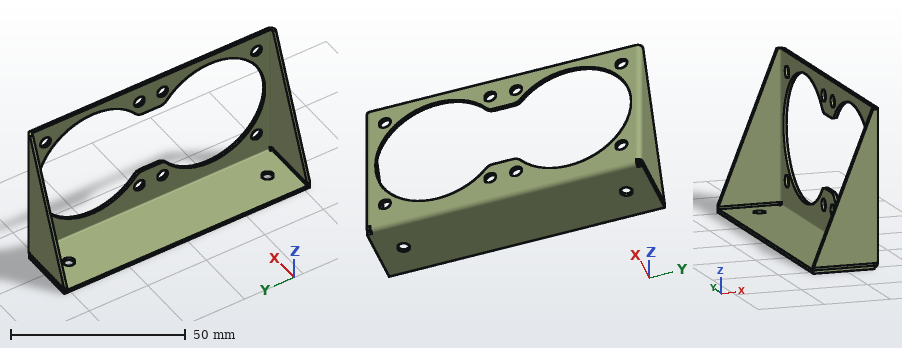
import cadquery as cq

depth = 20.0
width = 84.0
height = 46.9

thickness = 1.0
inner_radius = 0.5
outer_radius = inner_radius + thickness
bend_x = depth - outer_radius
half_width = width / 2
half_flat = half_width - outer_radius

wall_bottom = 1.8
wall_top_width = 2.0

opening_z = 24.95
opening_offset = 20.0
opening_radius = 19.0
waist_half_height = 10.9
waist_fillet = 3.0

hole_diameter = 3.5
back_hole_offset = 16.05
base_hole_y = 33.9
base_hole_x = depth / 2


def box(x_min, x_max, y_min, y_max, z_min, z_max):
    """Box between two limits on each axis."""
    size = (x_max - x_min, y_max - y_min, z_max - z_min)
    return cq.Workplane("XY").box(*size, centered=False).translate((x_min, y_min, z_min))


def bend_tube(axis_start, axis_end):
    """Full tube of sheet thickness along an axis line, to be trimmed to a quarter bend."""
    axis = axis_end - axis_start
    return (
        cq.Workplane(cq.Plane(origin=axis_start, normal=axis, xDir=(1, 0, 0)))
        .circle(outer_radius)
        .circle(inner_radius)
        .extrude(axis.Length)
    )


def base_bend():
    """Bend from the base up into the back wall."""
    tube = bend_tube(
        cq.Vector(bend_x, -half_flat, outer_radius),
        cq.Vector(bend_x, half_flat, outer_radius),
    )
    return tube.intersect(box(bend_x, depth, -half_flat, half_flat, 0, outer_radius))


def side_wall(side):
    """Tapered side wall with its bend into the back wall; side is -1 or 1."""
    wall = (
        cq.Workplane("XZ", origin=(0, side * half_width, 0))
        .moveTo(0, wall_bottom)
        .lineTo(bend_x, wall_bottom)
        .lineTo(bend_x, height)
        .lineTo(depth - wall_top_width, height)
        .close()
        .extrude(side * thickness)
    )
    tube = bend_tube(
        cq.Vector(bend_x, side * half_flat, wall_bottom),
        cq.Vector(bend_x, side * half_flat, height),
    )
    y_min, y_max = sorted((side * half_flat, side * half_width))
    return wall.union(tube.intersect(box(bend_x, depth, y_min, y_max, wall_bottom, height)))


def back_opening():
    """Cutter for the two circles joined by a filleted waist."""
    back_plane = cq.Workplane("YZ", origin=(depth - thickness, 0, opening_z))
    circles = (
        back_plane.pushPoints([(-opening_offset, 0), (opening_offset, 0)])
        .circle(opening_radius)
        .extrude(thickness)
    )
    waist = back_plane.rect(2 * opening_offset, 2 * waist_half_height).extrude(thickness)
    corners = cq.selectors.BoxSelector(
        (0, -opening_offset / 2, 0), (2 * depth, opening_offset / 2, height)
    )
    return circles.union(waist).edges("|X").edges(corners).fillet(waist_fillet)


def back_holes():
    """Cutters for four screw holes around each circle of the opening."""
    centres = [
        (side * opening_offset + dy, dz)
        for side in (-1, 1)
        for dy in (-back_hole_offset, back_hole_offset)
        for dz in (-back_hole_offset, back_hole_offset)
    ]
    return (
        cq.Workplane("YZ", origin=(depth - thickness, 0, opening_z))
        .pushPoints(centres)
        .circle(hole_diameter / 2)
        .extrude(thickness)
    )


def base_holes():
    """Cutters for the two mounting holes in the base."""
    return (
        cq.Workplane("XY")
        .pushPoints([(base_hole_x, -base_hole_y), (base_hole_x, base_hole_y)])
        .circle(hole_diameter / 2)
        .extrude(thickness)
    )


def make_bracket():
    """Base, back wall and two side walls folded from one sheet."""
    base = box(0, bend_x, -half_width, half_width, 0, thickness).cut(base_holes())
    back = box(depth - thickness, depth, -half_flat, half_flat, outer_radius, height)
    back = back.cut(back_opening()).cut(back_holes())
    bracket = base.union(base_bend()).union(back)
    for side in (-1, 1):
        bracket = bracket.union(side_wall(side))
    return bracket.solids()


def make_weld_strip(side):
    """Strip that fills the gap between the base and one side wall."""
    y_min, y_max = sorted((side * (half_width - thickness), side * half_width))
    return box(0, bend_x, y_min, y_max, thickness, wall_bottom)


bracket = make_bracket()
weld_strips = [make_weld_strip(side) for side in (-1, 1)]

result = cq.Compound.makeCompound([bracket.val(), *[strip.val() for strip in weld_strips]])